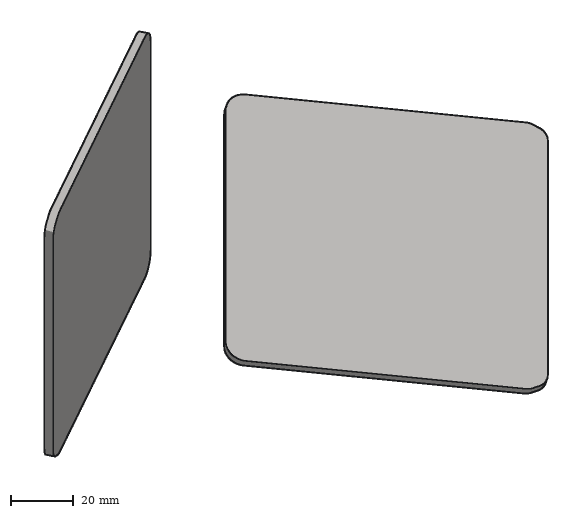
import cadquery as cq

plate_length = 105.0
plate_height = 100.0
plate_thickness = 3.0
turn_angle = 120.0

rear_corner_radius = 6.5

slope_length = 6.0
slope_height = 3.0
slope_blend_radius = 5.0

front = -plate_length / 2
rear = plate_length / 2
top = plate_height / 2
bottom = -top

outline = [
    (rear, bottom),
    (rear, top),
    (front + slope_length, top),
    (front, top - slope_height),
    (front, bottom + slope_height),
    (front + slope_length, bottom),
]

plate = (
    cq.Workplane("XZ")
    .polyline(outline)
    .close()
    .extrude(plate_thickness / 2, both=True)
)
plate = plate.edges("|Y and >X").fillet(rear_corner_radius)

front_end = cq.selectors.BoxSelector(
    (front - plate_thickness, -plate_thickness, -plate_height),
    (0, plate_thickness, plate_height),
)
plate = plate.edges("|Y").edges(front_end).fillet(slope_blend_radius)

result = plate.rotate((0, 0, 0), (0, 0, 1), turn_angle)